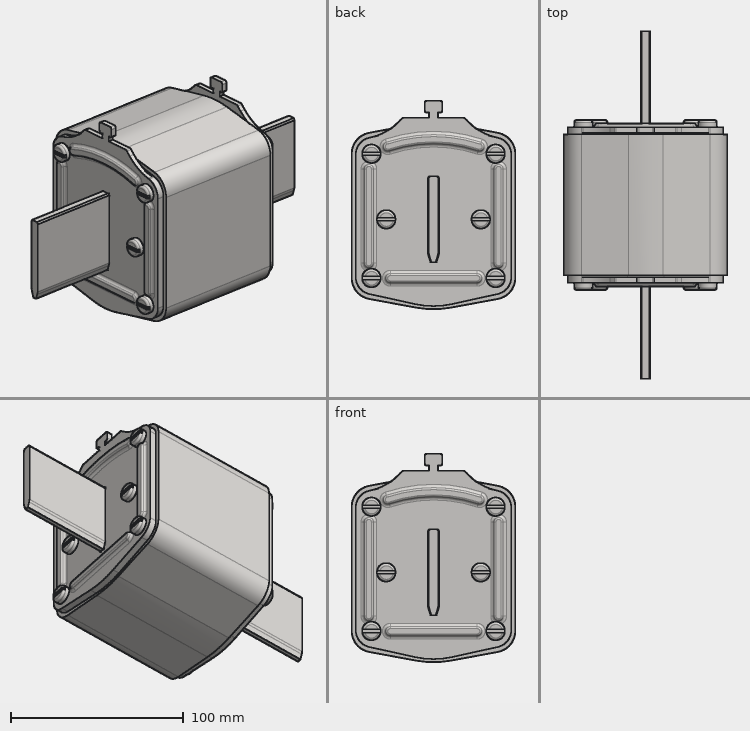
import cadquery as cq
import math

BODY_WIDTH = 95.0
BODY_HEIGHT = 108.4
BODY_LENGTH = 81.7
BODY_PITCH = math.radians(10.5)
BODY_CORNER_RADIUS = 12.6
BODY_CROWN_WIDTH = 20.0

PLATE_WIDTH = 90.2
PLATE_HEIGHT = 104.6
PLATE_PITCH = math.radians(12.4)
PLATE_CORNER_RADIUS = 10.1
PLATE_CROWN_WIDTH = 21.2
GASKET_THICKNESS = 1.0
PLATE_THICKNESS = 3.3
BODY_FACE = BODY_LENGTH / 2
PLATE_BACK = BODY_FACE + GASKET_THICKNESS
PLATE_FACE = PLATE_BACK + PLATE_THICKNESS

LUG_TOP = 66.75
LUG_BASE = 56.95
LUG_BASE_HALF_WIDTH = 17.8
LUG_BASE_CORNER_RADIUS = 1.5
SHOULDER_ANGLE = math.radians(45)
SHOULDER_FILLET = 32.0
NECK_WIDTH = 5.5
HEAD_WIDTH = 10.3
HEAD_HEIGHT = 6.85
HEAD_FILLET = 1.2

RIB_HEIGHT = 2.2
RIB_HALF_WIDTH = 4.55
RIB_FOOT_RADIUS = 2.0
RIB_CREST_RADIUS = 1.2
SIDE_RIB_X = 37.6
SIDE_RIB_LENGTH = 54.6
BOTTOM_RIB_Z = -36.0
BOTTOM_RIB_LENGTH = 50.4
ARCH_CREST_Z = 44.6
ARCH_RADIUS = 84.0
ARCH_HALF_SPAN = 26.6

SCREW_RADIUS = 5.4
SCREW_HEIGHT = 4.2
SCREW_FILLET = 1.5
SCREW_SLOT_WIDTH = 1.8
SCREW_SLOT_DEPTH = 1.3
CORNER_SCREW_X = 36.0
CORNER_SCREW_Z = 36.0
MIDDLE_SCREW_X = 27.4

BLADE_SPAN = 201.5
BLADE_HEIGHT = 50.0
BLADE_CENTER_Z = -2.0
BLADE_THICKNESS = 5.5
BLADE_TOP_CHAMFER_WIDTH = 0.65
BLADE_TOP_CHAMFER_HEIGHT = 1.2
BLADE_KNEE_HEIGHT = 5.3
BLADE_BEVEL_HEIGHT = 3.5
BLADE_BEVEL_HALF_WIDTH = 2.3
BLADE_TIP_HALF_WIDTH = 1.2
SLOT_CLEARANCE = 0.5

EMBED = 0.5


def prism(profile, start, end):
    """Extrude a profile drawn on the XZ plane from y = start to y = end."""
    return profile.extrude(start - end).translate((0, start, 0))


def pitched_outline(width, height, pitch, corner, crown_width):
    """Closed outline with pitched top and bottom, rounded crowns and rounded corners."""
    half_width = width / 2
    crown_half = crown_width / 2
    crown_z = height / 2
    sin_pitch = math.sin(pitch)
    cos_pitch = math.cos(pitch)

    roof_z = crown_z - crown_half * math.tan(pitch / 2)
    center_x = half_width - corner
    corner_top_x = center_x + corner * sin_pitch
    corner_top_z = roof_z - (corner_top_x - crown_half) * math.tan(pitch)
    center_z = corner_top_z - corner * cos_pitch
    mid_angle = (math.pi / 2 - pitch) / 2
    corner_mid_x = center_x + corner * math.cos(mid_angle)
    corner_mid_z = center_z + corner * math.sin(mid_angle)

    return (
        cq.Workplane("XZ")
        .moveTo(-crown_half, roof_z)
        .threePointArc((0, crown_z), (crown_half, roof_z))
        .lineTo(corner_top_x, corner_top_z)
        .threePointArc((corner_mid_x, corner_mid_z), (half_width, center_z))
        .lineTo(half_width, -center_z)
        .threePointArc((corner_mid_x, -corner_mid_z), (corner_top_x, -corner_top_z))
        .lineTo(crown_half, -roof_z)
        .threePointArc((0, -crown_z), (-crown_half, -roof_z))
        .lineTo(-corner_top_x, -corner_top_z)
        .threePointArc((-corner_mid_x, -corner_mid_z), (-half_width, -center_z))
        .lineTo(-half_width, center_z)
        .threePointArc((-corner_mid_x, corner_mid_z), (-corner_top_x, corner_top_z))
        .close()
    )


def body_outline():
    """Outline of the ceramic body."""
    return pitched_outline(BODY_WIDTH, BODY_HEIGHT, BODY_PITCH, BODY_CORNER_RADIUS, BODY_CROWN_WIDTH)


def plate_outline():
    """Outline shared by the gasket and the end plate."""
    return pitched_outline(PLATE_WIDTH, PLATE_HEIGHT, PLATE_PITCH, PLATE_CORNER_RADIUS, PLATE_CROWN_WIDTH)


def make_plate():
    """End plate whose top sweeps up into a shouldered base, neck and gripping head."""
    base = prism(plate_outline(), PLATE_BACK, PLATE_FACE)

    roof_slope = math.tan(PLATE_PITCH)
    apex_z = PLATE_HEIGHT / 2
    apex_z += PLATE_CROWN_WIDTH / 2 * (roof_slope - math.tan(PLATE_PITCH / 2))
    shoulder_slope = math.tan(SHOULDER_ANGLE)
    foot_x = (LUG_BASE - apex_z + shoulder_slope * LUG_BASE_HALF_WIDTH) / (shoulder_slope - roof_slope)
    foot_z = apex_z - roof_slope * foot_x
    shoulder_profile = (
        cq.Workplane("XZ")
        .moveTo(-foot_x, foot_z)
        .lineTo(-LUG_BASE_HALF_WIDTH, LUG_BASE)
        .lineTo(LUG_BASE_HALF_WIDTH, LUG_BASE)
        .lineTo(foot_x, foot_z)
        .lineTo(0, 0)
        .close()
    )
    shoulders = prism(shoulder_profile, PLATE_BACK, PLATE_FACE)
    shoulders = shoulders.edges(edge_at(LUG_BASE_HALF_WIDTH, LUG_BASE)).fillet(LUG_BASE_CORNER_RADIUS)
    plate = base.union(shoulders)
    plate = plate.edges(edge_at(foot_x, foot_z)).fillet(SHOULDER_FILLET)

    head_center_z = LUG_TOP - HEAD_HEIGHT / 2
    head_profile = cq.Workplane("XZ").center(0, head_center_z).rect(HEAD_WIDTH, HEAD_HEIGHT)
    head = prism(head_profile, PLATE_BACK, PLATE_FACE).edges("|Y").fillet(HEAD_FILLET)
    neck_height = head_center_z - LUG_BASE + EMBED
    neck_profile = (
        cq.Workplane("XZ")
        .center(0, head_center_z - neck_height / 2)
        .rect(NECK_WIDTH, neck_height)
    )
    neck = prism(neck_profile, PLATE_BACK, PLATE_FACE)
    return plate.union(neck).union(head)


def edge_at(x, z):
    """Selector for the pair of Y-parallel plate edges at (-x, z) and (x, z)."""
    size = 0.1
    pair = None
    for side in (-1, 1):
        low = (side * x - size, PLATE_BACK - size, z - size)
        high = (side * x + size, PLATE_FACE + size, z + size)
        box = cq.selectors.BoxSelector(low, high)
        pair = box if pair is None else pair + box
    return pair


def rib_section(full):
    """Rib section on the XY plane: x runs across the rib, y is the height above the plate."""
    reach = RIB_FOOT_RADIUS + RIB_CREST_RADIUS
    sweep = math.acos(1 - RIB_HEIGHT / reach)
    crest_half = RIB_HALF_WIDTH - reach * math.sin(sweep)

    def foot(side, angle):
        x = RIB_HALF_WIDTH - RIB_FOOT_RADIUS * math.sin(angle)
        return (side * x, RIB_FOOT_RADIUS * (1 - math.cos(angle)))

    def crest(side, angle):
        x = crest_half + RIB_CREST_RADIUS * math.sin(angle)
        return (side * x, RIB_HEIGHT - RIB_CREST_RADIUS * (1 - math.cos(angle)))

    section = (
        cq.Workplane("XY")
        .moveTo(0, -EMBED)
        .lineTo(RIB_HALF_WIDTH, -EMBED)
        .lineTo(*foot(1, 0))
        .threePointArc(foot(1, sweep / 2), foot(1, sweep))
        .threePointArc(crest(1, sweep / 2), crest(1, 0))
    )
    if not full:
        return section.lineTo(0, RIB_HEIGHT).close()
    return (
        section.lineTo(*crest(-1, 0))
        .threePointArc(crest(-1, sweep / 2), crest(-1, sweep))
        .threePointArc(foot(-1, sweep / 2), foot(-1, 0))
        .lineTo(-RIB_HALF_WIDTH, -EMBED)
        .close()
    )


def rib_end():
    """Round rib end: half of the rib section spun about the height axis."""
    return rib_section(full=False).revolve(360, (0, 0), (0, 1))


def straight_rib(length):
    """Rib along Z, centred on the origin and rising along +Y."""
    rib = rib_section(full=True).extrude(length).translate((0, 0, -length / 2))
    for side in (-1, 1):
        rib = rib.union(rib_end().translate((0, 0, side * length / 2)))
    return rib


def arched_rib():
    """Rib bent round an arc in the XZ plane, with its crown at the origin."""
    half_angle = math.degrees(math.asin(ARCH_HALF_SPAN / ARCH_RADIUS))
    axis_foot = (-ARCH_RADIUS, 0, 0)
    axis_tip = (-ARCH_RADIUS, 1, 0)
    bend = rib_section(full=True).revolve(2 * half_angle, axis_foot, axis_tip)
    rib = bend.rotate(axis_foot, axis_tip, -half_angle)
    for side in (-1, 1):
        rib = rib.union(rib_end().rotate(axis_foot, axis_tip, side * half_angle))
    return rib.rotate((0, 0, 0), (0, 1, 0), -90)


def place_on_plate(feature, x, z):
    """Seat a feature that rises along +Y on the outer face of the plate."""
    return feature.translate((x, PLATE_FACE, z))


def make_ribs():
    """Two side ribs, a bottom rib and an arched top rib."""
    ribs = place_on_plate(arched_rib(), 0, ARCH_CREST_Z)
    for side in (-1, 1):
        ribs = ribs.union(place_on_plate(straight_rib(SIDE_RIB_LENGTH), side * SIDE_RIB_X, 0))
    bottom_rib = straight_rib(BOTTOM_RIB_LENGTH).rotate((0, 0, 0), (0, 1, 0), 90)
    return ribs.union(place_on_plate(bottom_rib, 0, BOTTOM_RIB_Z))


def make_screw_head():
    """Round-edged screw head rising along +Y, with a driver slot along X."""
    head = cq.Workplane("XZ").circle(SCREW_RADIUS).extrude(-SCREW_HEIGHT)
    head = head.faces(">Y").edges().fillet(SCREW_FILLET)
    slot_profile = cq.Workplane("XZ").rect(2 * SCREW_RADIUS, SCREW_SLOT_WIDTH)
    return head.cut(prism(slot_profile, SCREW_HEIGHT - SCREW_SLOT_DEPTH, SCREW_HEIGHT))


def screw_positions():
    """Four corner screws and one either side of the blade, level with its middle."""
    positions = []
    for side in (-1, 1):
        positions.append((side * MIDDLE_SCREW_X, BLADE_CENTER_Z))
        for level in (-1, 1):
            positions.append((side * CORNER_SCREW_X, level * CORNER_SCREW_Z))
    return positions


def blade_profile(clearance=0.0):
    """Blade section with bevelled edges; the clearance widens it on both flanks."""
    top = BLADE_CENTER_Z + BLADE_HEIGHT / 2
    bottom = BLADE_CENTER_Z - BLADE_HEIGHT / 2
    half = BLADE_THICKNESS / 2
    right_side = [
        (BLADE_TIP_HALF_WIDTH, bottom),
        (BLADE_BEVEL_HALF_WIDTH, bottom + BLADE_BEVEL_HEIGHT),
        (half, bottom + BLADE_KNEE_HEIGHT),
        (half, top - BLADE_TOP_CHAMFER_HEIGHT),
        (half - BLADE_TOP_CHAMFER_WIDTH, top),
    ]
    right_side = [(x + clearance, z) for x, z in right_side]
    left_side = [(-x, z) for x, z in reversed(right_side)]
    return cq.Workplane("XZ").polyline(right_side + left_side).close()


def make_end():
    """Gasket, plate, ribs, screw heads and blade at the +Y end of the body."""
    end = prism(plate_outline(), BODY_FACE, PLATE_BACK)
    end = end.union(make_plate()).union(make_ribs())
    for x, z in screw_positions():
        end = end.union(place_on_plate(make_screw_head(), x, z))
    end = end.cut(prism(blade_profile(SLOT_CLEARANCE), PLATE_BACK, PLATE_FACE))
    return end.union(prism(blade_profile(), BODY_FACE, BLADE_SPAN / 2))


body = prism(body_outline(), -BODY_FACE, BODY_FACE)
back_end = make_end()
front_end = back_end.mirror("XZ")
result = body.union(back_end).union(front_end)